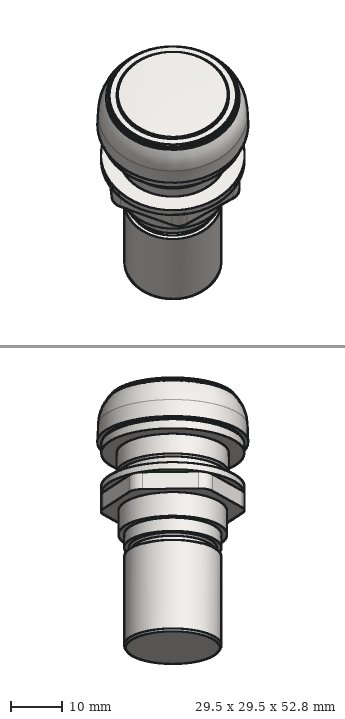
import cadquery as cq
import math

TOTAL_HEIGHT = 52.8

BARREL_RADIUS = 19.0 / 2
BARREL_TOP_Z = 18.95
BOTTOM_EDGE_WIDTH = 0.3
BOTTOM_EDGE_HEIGHT = 0.5
WAIST_RADIUS = 16.2 / 2
WAIST_TOP_Z = 20.8
WAIST_FLARE = 0.5

SHANK_RADIUS = 21.2 / 2
SHANK_BOTTOM_Z = 23.55
COLLAR_RADIUS = 21.9 / 2
COLLAR_BOTTOM_Z = 36.4
COLLAR_CHAMFER_HEIGHT = 0.5

SEAT_RADIUS = 28.0 / 2
SEAT_BOTTOM_Z = 40.5
SEAT_TOP_Z = 42.45
GAP_RADIUS = 27.55 / 2
BEZEL_RADIUS = 29.5 / 2
BEZEL_BOTTOM_Z = 42.75
BEZEL_SHOULDER_RADIUS = 14.6
BEZEL_SHOULDER_Z = 46.25
BEZEL_TOP_RADIUS = 13.05
BEZEL_TOP_Z = 50.85
BEZEL_BULGE = 0.395

RING_RADIUS = 12.6
RING_TOP_Z = 51.7
RING_CHAMFER_WIDTH = 0.25
RING_CHAMFER_HEIGHT = 0.35
DOME_FOOT_RADIUS = 11.0
DOME_RADIUS = 10.7
DOME_RIM_Z = 52.0

NUT_BOTTOM_Z = 28.45
NUT_FLANGE_BOTTOM_Z = 31.95
NUT_TOP_Z = 33.4
NUT_FLANGE_RADIUS = 28.1 / 2
NUT_ACROSS_FLATS = 25.1
NUT_CORNER_RADIUS = 3.0


def make_button():
    """Turn the whole button body about the Z axis."""
    bezel_run = BEZEL_TOP_RADIUS - BEZEL_SHOULDER_RADIUS
    bezel_rise = BEZEL_TOP_Z - BEZEL_SHOULDER_Z
    bezel_chord = math.hypot(bezel_run, bezel_rise)
    bezel_arc_middle = (
        BEZEL_SHOULDER_RADIUS + bezel_run / 2 + BEZEL_BULGE * bezel_rise / bezel_chord,
        BEZEL_SHOULDER_Z + bezel_rise / 2 - BEZEL_BULGE * bezel_run / bezel_chord,
    )

    dome_height = TOTAL_HEIGHT - DOME_RIM_Z
    sphere_radius = (DOME_RADIUS**2 + dome_height**2) / (2 * dome_height)
    half_cap_angle = math.asin(DOME_RADIUS / sphere_radius) / 2
    dome_arc_middle = (
        sphere_radius * math.sin(half_cap_angle),
        TOTAL_HEIGHT - sphere_radius * (1 - math.cos(half_cap_angle)),
    )

    profile = (
        cq.Workplane("XZ")
        .moveTo(0, 0)
        .lineTo(BARREL_RADIUS - BOTTOM_EDGE_WIDTH, 0)
        .lineTo(BARREL_RADIUS, BOTTOM_EDGE_HEIGHT)
        .lineTo(BARREL_RADIUS, BARREL_TOP_Z)
        .lineTo(WAIST_RADIUS + WAIST_FLARE, BARREL_TOP_Z)
        .lineTo(WAIST_RADIUS, BARREL_TOP_Z + WAIST_FLARE)
        .lineTo(WAIST_RADIUS, WAIST_TOP_Z - WAIST_FLARE)
        .lineTo(WAIST_RADIUS + WAIST_FLARE, WAIST_TOP_Z)
        .lineTo(BARREL_RADIUS, WAIST_TOP_Z)
        .lineTo(BARREL_RADIUS, SHANK_BOTTOM_Z)
        .lineTo(SHANK_RADIUS, SHANK_BOTTOM_Z)
        .lineTo(SHANK_RADIUS, COLLAR_BOTTOM_Z - COLLAR_CHAMFER_HEIGHT)
        .lineTo(COLLAR_RADIUS, COLLAR_BOTTOM_Z)
        .lineTo(COLLAR_RADIUS, SEAT_BOTTOM_Z)
        .lineTo(SEAT_RADIUS, SEAT_BOTTOM_Z)
        .lineTo(SEAT_RADIUS, SEAT_TOP_Z)
        .lineTo(GAP_RADIUS, SEAT_TOP_Z)
        .lineTo(GAP_RADIUS, BEZEL_BOTTOM_Z)
        .lineTo(BEZEL_RADIUS, BEZEL_BOTTOM_Z)
        .lineTo(BEZEL_SHOULDER_RADIUS, BEZEL_SHOULDER_Z)
        .threePointArc(bezel_arc_middle, (BEZEL_TOP_RADIUS, BEZEL_TOP_Z))
        .lineTo(RING_RADIUS, BEZEL_TOP_Z)
        .lineTo(RING_RADIUS, RING_TOP_Z - RING_CHAMFER_HEIGHT)
        .lineTo(RING_RADIUS - RING_CHAMFER_WIDTH, RING_TOP_Z)
        .lineTo(DOME_FOOT_RADIUS, RING_TOP_Z)
        .lineTo(DOME_RADIUS, DOME_RIM_Z)
        .threePointArc(dome_arc_middle, (0, TOTAL_HEIGHT))
        .close()
    )
    return profile.revolve(360, (0, 0), (0, 1))


def make_nut():
    """Hexagon with rounded corners on +/-X, a round flange above, and a bore for the shank."""
    across_corners = NUT_ACROSS_FLATS / math.cos(math.pi / 6)
    hexagon = (
        cq.Workplane("XY", origin=(0, 0, NUT_BOTTOM_Z))
        .polygon(6, across_corners)
        .extrude(NUT_FLANGE_BOTTOM_Z - NUT_BOTTOM_Z)
        .edges("|Z")
        .fillet(NUT_CORNER_RADIUS)
    )
    flange = (
        cq.Workplane("XY", origin=(0, 0, NUT_FLANGE_BOTTOM_Z))
        .circle(NUT_FLANGE_RADIUS)
        .extrude(NUT_TOP_Z - NUT_FLANGE_BOTTOM_Z)
    )
    bore = (
        cq.Workplane("XY", origin=(0, 0, NUT_BOTTOM_Z))
        .circle(SHANK_RADIUS)
        .extrude(NUT_TOP_Z - NUT_BOTTOM_Z)
    )
    return hexagon.union(flange).cut(bore)


button = make_button()
nut = make_nut()

result = cq.Compound.makeCompound([button.val(), nut.val()])